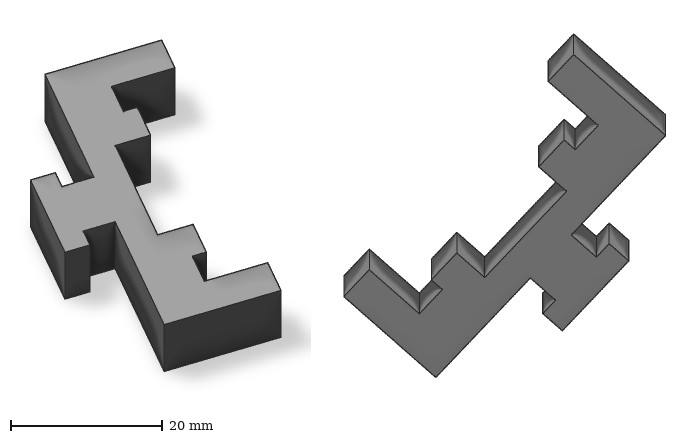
import cadquery as cq

length = 45.0
depth = 24.5
height = 10.0

head_width = 13.0
head_depth = 3.5
neck_width = 8.0
neck_depth = 4.5

web_thickness = 4.5
shelf_thickness = 7.5
lug_reach = 9.5
arm_width = 5.0
lug_width = 5.0
center_gap = 16.0

neck_end = -neck_depth
foot_end = neck_end - head_depth
arm_end = foot_end + depth

lug_inner = center_gap / 2
lug_outer = lug_inner + lug_width
arm_outer = length / 2
arm_inner = arm_outer - arm_width

half_outline = [
    (0, foot_end),
    (head_width / 2, foot_end),
    (head_width / 2, neck_end),
    (neck_width / 2, neck_end),
    (neck_width / 2, 0),
    (arm_outer, 0),
    (arm_outer, arm_end),
    (arm_inner, arm_end),
    (arm_inner, shelf_thickness),
    (lug_outer, shelf_thickness),
    (lug_outer, lug_reach),
    (lug_inner, lug_reach),
    (lug_inner, web_thickness),
    (0, web_thickness),
]

result = cq.Workplane("XY").polyline(half_outline).mirrorY().extrude(height)